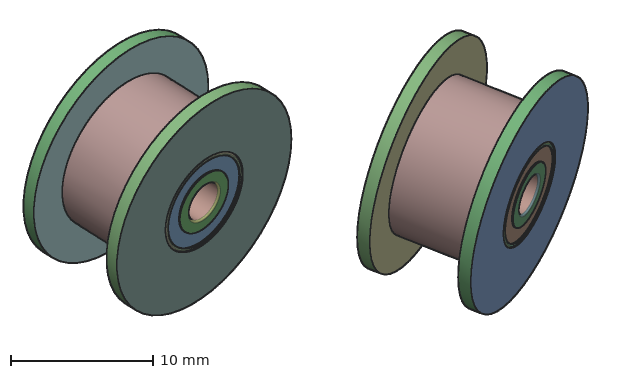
import cadquery as cq

width = 9.0
flange_diameter = 18.0
flange_thickness = 1.0
hub_diameter = 12.15

bearing_diameter = 8.0
bore_diameter = 3.0
bearing_edge_radius = 0.15
shield_outer_diameter = 7.4
shield_inner_diameter = 5.0
shield_depth = 0.1


def disc(diameter, length, start):
    """Cylinder along X, beginning at x = start."""
    return cq.Workplane("YZ", origin=(start, 0, 0)).circle(diameter / 2).extrude(length)


def pulley_body():
    hub = disc(hub_diameter, width, -width / 2)
    left_flange = disc(flange_diameter, flange_thickness, -width / 2)
    right_flange = disc(flange_diameter, flange_thickness, width / 2 - flange_thickness)
    return hub.union(left_flange).union(right_flange)


def shield_recess(start):
    """Shallow ring between the inner and outer races of a bearing."""
    outer = disc(shield_outer_diameter, shield_depth, start)
    return outer.cut(disc(shield_inner_diameter, shield_depth, start))


def bearing_core():
    """Both bearings as one core, with rounded race edges and recessed shields."""
    core = disc(bearing_diameter, width, -width / 2)
    core = core.cut(disc(bore_diameter, width, -width / 2))
    core = core.faces("<X or >X").edges().fillet(bearing_edge_radius)
    for start in (-width / 2, width / 2 - shield_depth):
        core = core.cut(shield_recess(start))
    return core


bearing_seat = disc(bearing_diameter, width, -width / 2)
result = pulley_body().cut(bearing_seat).union(bearing_core())